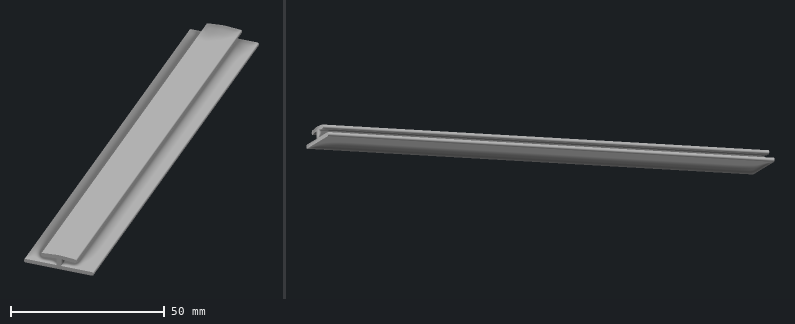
import cadquery as cq
import math


length = 152.4
base_width = 24.4
total_height = 5.3

base_thickness = 1.4
stem_width = 1.5

cap_width = 12.5
crown_width = 2.3
cap_thickness = 1.4
wing_slope = math.radians(4.5)


def extrude_along_y(sketch):
    """Extrude an XZ profile to the full length, centred on the origin."""
    return sketch.extrude(length / 2, both=True)


def make_base():
    """Flat strip with half-round long edges."""
    tip_radius = base_thickness / 2
    profile = (
        cq.Workplane("XZ")
        .center(0, tip_radius)
        .slot2D(base_width, base_thickness)
    )
    return extrude_along_y(profile)


def make_stem():
    """Web joining the base to the cap, rooted at mid-thickness in both."""
    bottom = base_thickness / 2
    top = total_height - cap_thickness / 2
    profile = (
        cq.Workplane("XZ")
        .center(0, (bottom + top) / 2)
        .rect(stem_width, top - bottom)
    )
    return extrude_along_y(profile)


def make_cap():
    """Drooping cap of constant thickness with half-round tips."""
    tip_radius = cap_thickness / 2
    crown_half = crown_width / 2
    crown_sag = crown_half * math.tan(wing_slope / 2)
    shoulder_z = total_height - crown_sag

    tip_x = cap_width / 2 - tip_radius
    normal_x = tip_radius * math.sin(wing_slope)
    normal_z = tip_radius * math.cos(wing_slope)
    top_x = tip_x + normal_x
    top_z = shoulder_z - (top_x - crown_half) * math.tan(wing_slope)
    tip_z = top_z - normal_z
    bottom_x = tip_x - normal_x
    bottom_z = tip_z - normal_z
    outer_x = tip_x + normal_z
    outer_z = tip_z - normal_x

    underside_z = bottom_z + bottom_x * math.tan(wing_slope)

    profile = (
        cq.Workplane("XZ")
        .moveTo(-crown_half, shoulder_z)
        .threePointArc((0, total_height), (crown_half, shoulder_z))
        .lineTo(top_x, top_z)
        .threePointArc((outer_x, outer_z), (bottom_x, bottom_z))
        .lineTo(0, underside_z)
        .lineTo(-bottom_x, bottom_z)
        .threePointArc((-outer_x, outer_z), (-top_x, top_z))
        .close()
    )
    return extrude_along_y(profile)


result = make_base().union(make_stem()).union(make_cap())